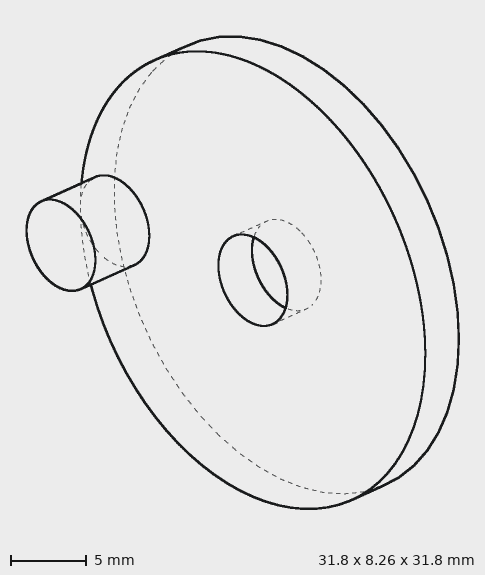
import cadquery as cq

disc_diameter = 31.75
disc_thickness = 3.18
bore_diameter = 6.35
pin_diameter = 6.35
pin_length = 5.08

pin_offset = (disc_diameter - pin_diameter) / 2

front_plane = cq.Workplane("XZ")

disc = front_plane.circle(disc_diameter / 2).circle(bore_diameter / 2).extrude(-disc_thickness)

pin = front_plane.center(-pin_offset, 0).circle(pin_diameter / 2).extrude(pin_length)

result = disc.union(pin)